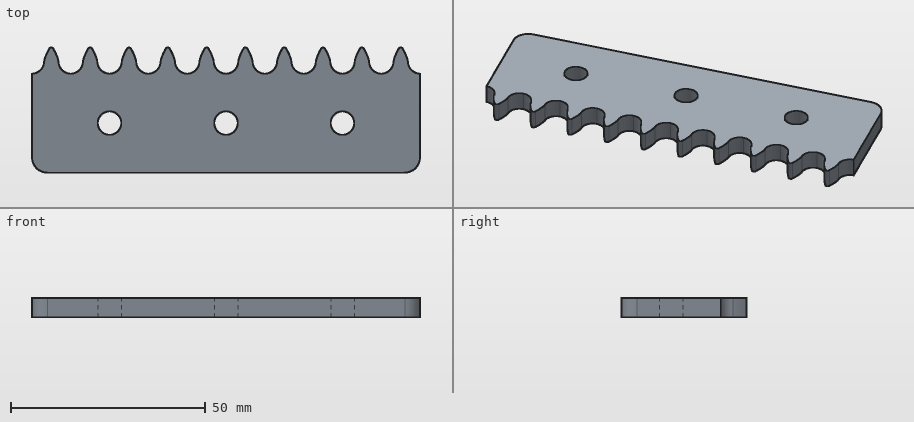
import math
import cadquery as cq

thickness = 5.0
corner_radius = 4.0

pitch = 10.0
tooth_count = 10
pin_radius = 3.1
pinion_pin_count = 6
pinion_radius = pinion_pin_count * pitch / (2 * math.pi)
pitch_line_y = 28.65
overall_depth = 32.29
addendum = overall_depth - pitch_line_y

hole_diameter = 6.0
hole_count = 3
hole_spacing = 30.0
hole_y = 12.8

length = tooth_count * pitch
half_pitch = pitch / 2
gap_bottom_y = pitch_line_y - pin_radius
bisection_steps = 60


def offset_cycloid(roll, offset):
    """Point at a given offset from the path of a pin centre, relative to the gap centre."""
    x = pinion_radius * (roll - math.sin(roll)) + offset * math.cos(roll / 2)
    y = pinion_radius * (1 - math.cos(roll)) - offset * math.sin(roll / 2)
    return x, y


def bisect(function, low, high):
    """Root of a function that rises from negative to positive between low and high."""
    for _ in range(bisection_steps):
        middle = (low + high) / 2
        if function(middle) < 0:
            low = middle
        else:
            high = middle
    return low


def tip_radius_at(roll):
    """Radius of the tip arc, centred on the tooth axis, that is tangent to the flank."""
    return (half_pitch - offset_cycloid(roll, pin_radius)[0]) / math.cos(roll / 2)


def tip_height_at(roll):
    """Height above the pitch line of the tip arc that is tangent to the flank."""
    tip_radius = tip_radius_at(roll)
    return offset_cycloid(roll, pin_radius + tip_radius)[1] + tip_radius


roll_start = 2 * math.asin(pin_radius / (2 * pinion_radius))
roll_end = bisect(lambda roll: tip_height_at(roll) - addendum, roll_start, math.pi / 2)
flank_points = 9


def flank_offsets():
    """Flank points from foot to tip, relative to the centre of the gap on the left."""
    step = (roll_end - roll_start) / (flank_points - 1)
    return [offset_cycloid(roll_start + i * step, pin_radius) for i in range(flank_points)]


def add_tooth(outline, left_gap_x):
    """Continue the outline from one gap bottom over a tooth to the next gap bottom."""
    right_gap_x = left_gap_x + pitch
    rising = [(left_gap_x + x, pitch_line_y + y) for x, y in flank_offsets()]
    falling = [(right_gap_x - x, pitch_line_y + y) for x, y in reversed(flank_offsets())]
    diagonal = pin_radius * math.cos(math.radians(45))
    return (
        outline
        .threePointArc((left_gap_x + diagonal, pitch_line_y - diagonal), rising[0])
        .spline(rising[1:], includeCurrent=True)
        .threePointArc((left_gap_x + half_pitch, overall_depth), falling[0])
        .spline(falling[1:], includeCurrent=True)
        .threePointArc((right_gap_x - diagonal, pitch_line_y - diagonal), (right_gap_x, gap_bottom_y))
    )


def toothed_plate():
    """Plate with teeth along its +Y edge and square corners at Y = 0."""
    outline = cq.Workplane("XY").moveTo(-length / 2, 0).lineTo(-length / 2, gap_bottom_y)
    for index in range(tooth_count):
        outline = add_tooth(outline, -length / 2 + index * pitch)
    return outline.lineTo(length / 2, 0).close().extrude(thickness)


def round_back_corners(plate):
    return plate.edges("|Z").edges("<Y").fillet(corner_radius)


def drill_holes(plate):
    return (
        plate.faces(">Z").workplane(origin=(0, hole_y, thickness))
        .rarray(hole_spacing, 1, hole_count, 1)
        .hole(hole_diameter)
    )


result = drill_holes(round_back_corners(toothed_plate()))